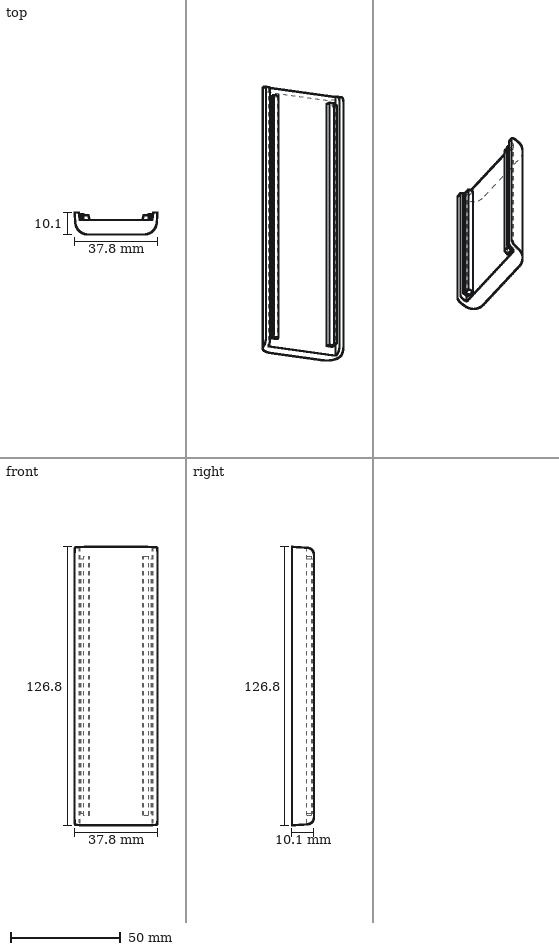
import cadquery as cq

WIDTH = 37.83
DEPTH = 10.1
HEIGHT = 126.8

FRONT_Y = -DEPTH / 2
REAR_Y = DEPTH / 2
FRONT_FLAT_WIDTH = 24.8
ROUND_DEPTH = 5.8
BODY_DEPTH = 6.7
SIDE_DRAFT = 0.3
END_DRAFT = 0.4
ROUND_MIDPOINT = 0.5 ** 0.5

WALL_ROOT = 2.5
WALL_TIP = 2.0
WALL_CORNER_RADIUS = DEPTH - BODY_DEPTH

RAIL_OUTER_X = 15.9
RAIL_INNER_X = 14.8
RAIL_DEPTH = 9.4
RAIL_END_GAP = 5.5

LEDGE_ROOT_X = 12.0
LEDGE_TIP_X = 12.5
LEDGE_DEPTH = 8.9
LEDGE_END_GAP = 4.5

half_width = WIDTH / 2
half_flat = FRONT_FLAT_WIDTH / 2
body_half_width = half_width - SIDE_DRAFT
body_rear_y = FRONT_Y + BODY_DEPTH
round_end_y = FRONT_Y + ROUND_DEPTH
round_width = body_half_width - half_flat
round_mid_x = half_flat + round_width * ROUND_MIDPOINT
round_mid_y = round_end_y - ROUND_DEPTH * ROUND_MIDPOINT


def extrude_along_z(outline, z_start, length):
    """Solid of the given length, starting at height z_start."""
    return outline.extrude(length).translate((0, 0, z_start))


def make_envelope():
    """Full-depth bar with rounded front edges and slightly flared flanks."""
    outline = (
        cq.Workplane("XY")
        .moveTo(-half_flat, FRONT_Y)
        .lineTo(half_flat, FRONT_Y)
        .threePointArc((round_mid_x, round_mid_y), (body_half_width, round_end_y))
        .lineTo(half_width, REAR_Y)
        .lineTo(-half_width, REAR_Y)
        .lineTo(-body_half_width, round_end_y)
        .threePointArc((-round_mid_x, round_mid_y), (-half_flat, FRONT_Y))
        .close()
    )
    return extrude_along_z(outline, -HEIGHT / 2, HEIGHT)


def make_side_profile():
    """Lengthwise profile: drafted ends and rounded rear corners."""
    front_z = HEIGHT / 2
    rear_z = front_z - END_DRAFT
    return (
        cq.Workplane("YZ")
        .moveTo(FRONT_Y, -front_z)
        .lineTo(body_rear_y, -rear_z)
        .radiusArc((REAR_Y, WALL_CORNER_RADIUS - rear_z), -WALL_CORNER_RADIUS)
        .lineTo(REAR_Y, rear_z - WALL_CORNER_RADIUS)
        .radiusArc((body_rear_y, rear_z), -WALL_CORNER_RADIUS)
        .lineTo(FRONT_Y, front_z)
        .close()
        .extrude(half_width, both=True)
    )


def make_rear_channel():
    """Opening between the tapered side walls."""
    root_x = half_width - WALL_ROOT
    tip_x = half_width - WALL_TIP
    outline = (
        cq.Workplane("XY")
        .moveTo(-root_x, body_rear_y)
        .lineTo(root_x, body_rear_y)
        .lineTo(tip_x, REAR_Y)
        .lineTo(-tip_x, REAR_Y)
        .close()
    )
    return extrude_along_z(outline, -HEIGHT / 2, HEIGHT)


def make_rail(side):
    """Thin rail standing clear of the side wall."""
    outline = (
        cq.Workplane("XY")
        .moveTo(side * RAIL_INNER_X, body_rear_y)
        .lineTo(side * RAIL_INNER_X, FRONT_Y + RAIL_DEPTH)
        .lineTo(side * RAIL_OUTER_X, FRONT_Y + RAIL_DEPTH)
        .lineTo(side * RAIL_OUTER_X, body_rear_y)
        .close()
    )
    return extrude_along_z(outline, RAIL_END_GAP - HEIGHT / 2, HEIGHT - 2 * RAIL_END_GAP)


def make_ledge(side):
    """Ledge with a sloping inner flank, joined to the rail."""
    outline = (
        cq.Workplane("XY")
        .moveTo(side * LEDGE_ROOT_X, body_rear_y)
        .lineTo(side * LEDGE_TIP_X, FRONT_Y + LEDGE_DEPTH)
        .lineTo(side * RAIL_INNER_X, FRONT_Y + LEDGE_DEPTH)
        .lineTo(side * RAIL_INNER_X, body_rear_y)
        .close()
    )
    return extrude_along_z(outline, LEDGE_END_GAP - HEIGHT / 2, HEIGHT - 2 * LEDGE_END_GAP)


result = make_envelope().intersect(make_side_profile()).cut(make_rear_channel())
for side in (-1, 1):
    result = result.union(make_rail(side)).union(make_ledge(side))